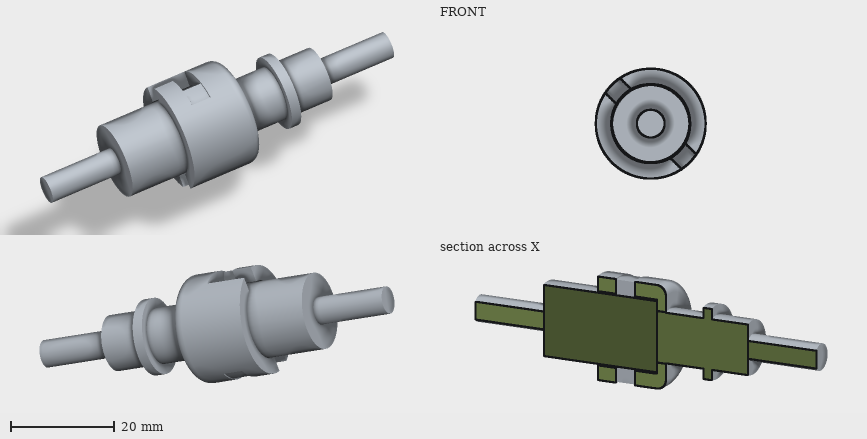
import cadquery as cq

total_length = 75.0
rear_end = total_length / 2
front_end = -total_length / 2
cable_length = 15.0
cable_diameter = 5.4

plug_diameter = 11.0
plug_rear = rear_end - cable_length
flange_diameter = 15.0
flange_thickness = 2.0
flange_front = 12.5

collar_diameter = 21.4
collar_bore = 15.4
collar_length = 15.0
collar_rear = 4.4
collar_front = collar_rear - collar_length
collar_wall = 2.0
collar_fillet = 2.0
collar_inner_face = collar_rear - collar_wall

slot_width = 4.05
slot_rear = -2.5
entry_angle = 45.0
slot_turns = (0.0, 180.0)

jack_diameter = 15.0
jack_front = front_end + cable_length
stud_size = 3.9
stud_tip_diameter = 21.0
stud_clearance = (slot_width - stud_size) / 2
stud_rear = slot_rear - stud_clearance
stud_front = stud_rear - stud_size


def cylinder(diameter, y_start, y_end):
    """Solid cylinder on the Y axis between two positions."""
    plane = cq.Workplane("XZ", origin=(0, y_start, 0))
    return plane.circle(diameter / 2).extrude(y_start - y_end)


def radial_block(width, y_rear, y_front, height):
    """Block reaching from the axis up to the given height along +Z."""
    block = cq.Workplane("XY").box(width, y_rear - y_front, height, centered=(True, False, False))
    return block.translate((0, y_front, 0))


def turn(body, angle):
    """Turn about the Y axis; a negative angle carries +Z towards -X."""
    return body.rotate((0, 0, 0), (0, 1, 0), angle)


def make_bayonet_slot():
    """L-shaped slot: an axial entry, then a circumferential run to the locked position."""
    slot_front = slot_rear - slot_width
    reach = collar_diameter
    entry = turn(radial_block(slot_width, slot_rear, collar_front, reach), -entry_angle)
    locked_end = radial_block(slot_width, slot_rear, slot_front, reach)
    sector = (
        cq.Workplane("XZ", origin=(0, slot_rear, 0))
        .lineTo(0, reach)
        .lineTo(-reach, reach)
        .close()
        .extrude(slot_width)
    )
    return entry.union(locked_end).union(sector)


def make_collar():
    """Rounded collar with a stepped bore and two bayonet slots."""
    collar = cylinder(collar_diameter, collar_front, collar_rear)
    collar = collar.faces(">Y").edges().fillet(collar_fillet)
    collar = collar.cut(cylinder(collar_bore, collar_front, collar_inner_face))
    collar = collar.cut(cylinder(plug_diameter, collar_inner_face, collar_rear))
    slot = make_bayonet_slot()
    for angle in slot_turns:
        collar = collar.cut(turn(slot, angle))
    return collar


def make_plug():
    """Flanged rear plug that passes through the collar's end wall."""
    plug = cylinder(plug_diameter, collar_inner_face, plug_rear)
    return plug.union(cylinder(flange_diameter, flange_front, flange_front + flange_thickness))


def make_jack():
    """Front barrel with two square studs seated at the ends of the slots."""
    jack = cylinder(jack_diameter, jack_front, collar_inner_face)
    stud = radial_block(stud_size, stud_rear, stud_front, stud_tip_diameter)
    stud = stud.intersect(cylinder(stud_tip_diameter, stud_front, stud_rear))
    for angle in slot_turns:
        jack = jack.union(turn(stud, angle))
    return jack


def make_cable(y_start):
    """Plain round cable running towards +Y from the given position."""
    return cylinder(cable_diameter, y_start, y_start + cable_length)


collar = make_collar()
plug = make_plug()
jack = make_jack()
cables = [make_cable(y_start).val() for y_start in (front_end, plug_rear)]

result = cq.Compound.makeCompound([collar.val(), plug.val(), jack.val(), *cables])